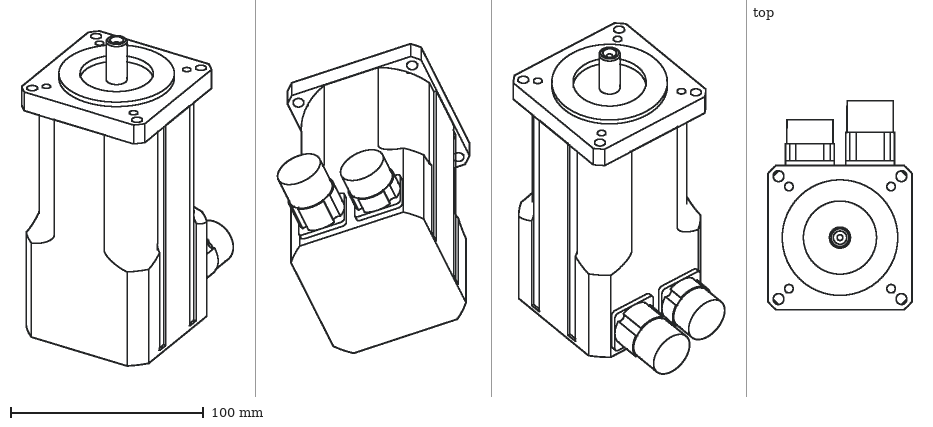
import cadquery as cq
import math


total_height = 168.0
pilot_top = 148.0
flange_top = 145.3
flange_bottom = 134.0

flange_width = 75.0
flange_corner_radius = 50.0
pilot_diameter = 60.0
recess_diameter = 38.0
recess_depth = 3.5
mount_hole_diameter = 5.5
mount_hole_circle = 90.0
tapped_hole_diameter = 4.4
tapped_hole_circle = 75.0

case_width = 74.5
case_corner_radius = 47.2
barrel_radius = 40.2
ledge_height = 55.8
ledge_fillet = 9.9

groove_inner = 12.0
groove_outer = 18.1
groove_depth = 1.3
groove_bottom = 2.5

shaft_diameter = 11.0
shaft_chamfer = 0.8
centre_hole_diameter = 3.0
centre_hole_depth = 6.7
centre_cone_diameter = 6.9
centre_cone_angle = 90.0

plug_offset = 15.6
plug_height = 17.8
plug_base_width = 25.5
plug_base_corner = 2.4
plug_base_thickness = 2.7
plug_collar_diameter = 25.5
plug_scallop_diameter = 4.7
plug_barrel_diameter = 24.0
short_plug_collar_end = 48.7
short_plug_end = 61.2
long_plug_collar_end = 54.6
long_plug_end = 71.0


def cylinder(radius, bottom, top):
    return cq.Workplane("XY").workplane(offset=bottom).circle(radius).extrude(top - bottom)


def turned_square(width, corner_radius, bottom, top):
    """Square block whose corners are turned round about the Z axis."""
    block = cq.Workplane("XY").workplane(offset=bottom).rect(width, width).extrude(top - bottom)
    return block.intersect(cylinder(corner_radius, bottom, top))


def corner_holes(diameter, circle_diameter):
    """Four vertical drill tools on the diagonals, through the flange thickness."""
    spacing = circle_diameter / math.sqrt(2)
    return (
        cq.Workplane("XY").workplane(offset=flange_bottom)
        .rect(spacing, spacing, forConstruction=True).vertices()
        .circle(diameter / 2).extrude(flange_top - flange_bottom)
    )


def make_case():
    """Square case with slim turned corners that flare out to a ledge."""
    case = turned_square(case_width, case_corner_radius, 0, flange_bottom)
    flare_radius = barrel_radius + ledge_fillet
    flare_top = ledge_height + ledge_fillet
    fillet_diagonal = ledge_fillet * math.sqrt(0.5)
    envelope = (
        cq.Workplane("XZ")
        .moveTo(0, 0)
        .lineTo(flare_radius, 0)
        .lineTo(flare_radius, ledge_height)
        .threePointArc(
            (flare_radius - fillet_diagonal, flare_top - fillet_diagonal),
            (barrel_radius, flare_top),
        )
        .lineTo(barrel_radius, flange_bottom)
        .lineTo(0, flange_bottom)
        .close()
        .revolve(360, (0, 0, 0), (0, 1, 0))
    )
    return case.intersect(envelope)


def make_side_grooves():
    groove_centre = (groove_inner + groove_outer) / 2
    face_x = case_width / 2
    return (
        cq.Workplane("XY").workplane(offset=groove_bottom)
        .pushPoints([(x, y) for x in (-face_x, face_x) for y in (-groove_centre, groove_centre)])
        .rect(2 * groove_depth, groove_outer - groove_inner)
        .extrude(flange_bottom - groove_bottom)
    )


def make_flange():
    """Flange with a raised pilot, a recess round the shaft and two sets of corner holes."""
    flange = turned_square(flange_width, flange_corner_radius, flange_bottom, flange_top)
    flange = flange.union(cylinder(pilot_diameter / 2, flange_top, pilot_top))
    flange = flange.cut(cylinder(recess_diameter / 2, pilot_top - recess_depth, pilot_top))
    flange = flange.cut(corner_holes(mount_hole_diameter, mount_hole_circle))
    return flange.cut(corner_holes(tapped_hole_diameter, tapped_hole_circle))


def make_shaft():
    """Chamfered shaft with a centre hole in its end."""
    shaft = cylinder(shaft_diameter / 2, pilot_top - recess_depth, total_height)
    shaft = shaft.faces(">Z").edges().chamfer(shaft_chamfer)
    return shaft.faces(">Z").workplane().cskHole(
        centre_hole_diameter, centre_cone_diameter, centre_cone_angle, centre_hole_depth
    )


def make_motor():
    case = make_case().cut(make_side_grooves())
    return case.union(make_flange()).union(make_shaft())


def make_plug(x, collar_end, plug_end):
    """Plug along +Y: square base, scalloped collar and round barrel."""
    case_face = case_width / 2
    face = cq.Workplane("XZ", origin=(x, case_face, plug_height))
    collar_length = collar_end - case_face
    scallop_spacing = plug_collar_diameter / math.sqrt(2)

    collar = face.circle(plug_collar_diameter / 2).extrude(-collar_length)
    scallops = (
        face.rect(scallop_spacing, scallop_spacing, forConstruction=True).vertices()
        .circle(plug_scallop_diameter / 2).extrude(-collar_length)
    )
    base = face.rect(plug_base_width, plug_base_width).extrude(-plug_base_thickness)
    base = base.edges("|Y").fillet(plug_base_corner)
    barrel = (
        face.workplane(offset=-collar_length)
        .circle(plug_barrel_diameter / 2).extrude(collar_end - plug_end)
    )
    return collar.cut(scallops).union(base).union(barrel)


motor = make_motor()
plugs = [
    make_plug(x, collar_end, plug_end)
    for x, collar_end, plug_end in (
        (-plug_offset, short_plug_collar_end, short_plug_end),
        (plug_offset, long_plug_collar_end, long_plug_end),
    )
]

result = cq.Compound.makeCompound([motor.val(), *[plug.val() for plug in plugs]])